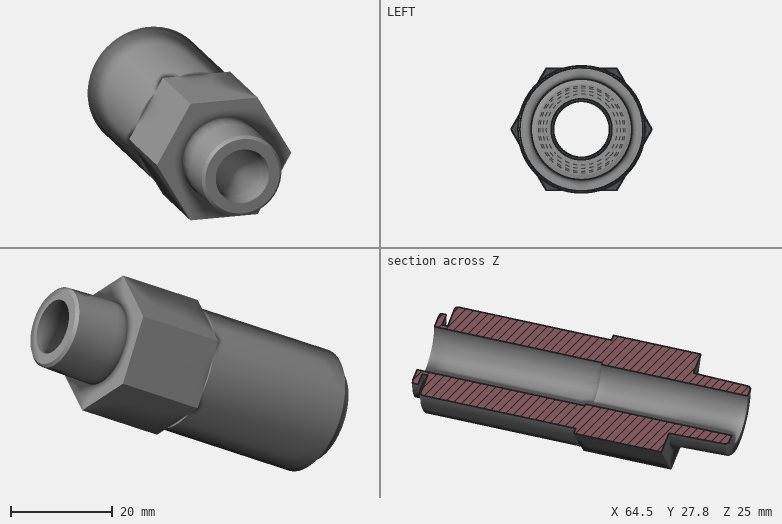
import cadquery as cq

length = 64.5
collar_end = 1.4
body_start = 2.45
hex_start = 34.45
hex_end = 52.5

collar_diameter = 19.8
collar_face_diameter = 17.85
collar_bevel_length = 0.17
neck_diameter = 14.0

body_diameter = 25.0
body_chamfer = 0.4
hex_corner_diameter = 27.75

spigot_root_diameter = 17.1
spigot_tip_diameter = 16.45
spigot_chamfer = 0.6

socket_diameter = 12.0
socket_depth = hex_start
passage_diameter = 11.0


def cylinder(start, end, diameter):
    """Round bar along X between two positions."""
    return cq.Workplane("YZ", origin=(start, 0, 0)).circle(diameter / 2).extrude(end - start)


def revolve_about_x(points):
    """Solid of revolution from (x, radius) profile points."""
    return cq.Workplane("XY").polyline(points).close().revolve(360, (0, 0, 0), (1, 0, 0))


collar = revolve_about_x([
    (0, 0),
    (0, collar_face_diameter / 2),
    (collar_bevel_length, collar_diameter / 2),
    (collar_end, collar_diameter / 2),
    (collar_end, 0),
])
neck = cylinder(collar_end, body_start, neck_diameter)

body = cylinder(body_start, hex_start, body_diameter).faces("<X").chamfer(body_chamfer)

hexagon = (
    cq.Workplane("YZ", origin=(hex_start, 0, 0))
    .polygon(6, hex_corner_diameter)
    .extrude(hex_end - hex_start)
)

spigot = revolve_about_x([
    (hex_end, 0),
    (hex_end, spigot_root_diameter / 2),
    (length - spigot_chamfer, spigot_tip_diameter / 2),
    (length, spigot_tip_diameter / 2 - spigot_chamfer),
    (length, 0),
])

socket = cylinder(0, socket_depth, socket_diameter)
passage = cylinder(0, length, passage_diameter)

result = collar.union(neck).union(body).union(hexagon).union(spigot).cut(socket).cut(passage)